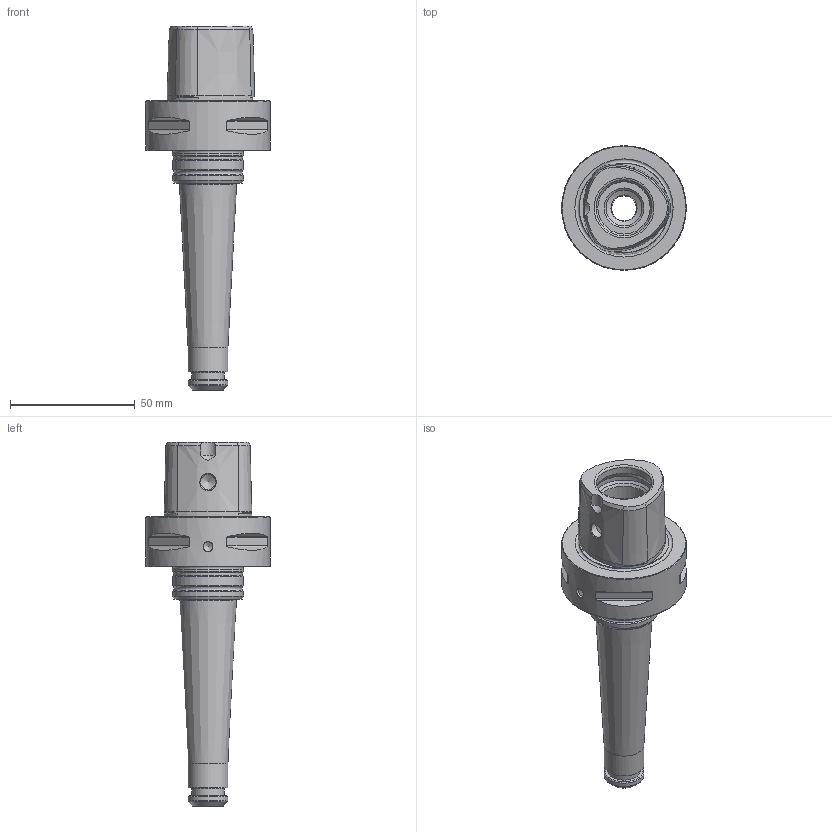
import cadquery as cq
import math


SHANK_TOP = 30.0
FLANGE_BOTTOM = -20.0
COLLAR_BOTTOM = -33.0
ARBOR_CONE_END = -99.0
NECK_TOP = -108.7
NECK_BOTTOM = -112.25
NOSE_BOTTOM = -116.0

SHANK_MEAN_RADIUS = 17.54
SHANK_ECCENTRICITY = 1.15
LOBE_CENTRE_DISTANCE = 8.5
SHANK_TAPER_START = 2.0
SHANK_TAPER_ANGLE = math.degrees(math.atan(1 / 40))
SHANK_CHAMFER_HEIGHT = 1.5
SHANK_CHAMFER_WIDTH = 0.6

ROOT_RADIUS = 18.0
ROOT_RING_HEIGHT = 0.3
ROOT_RELIEF_TOP = 1.2
TROUGH_OUTER_RADIUS = 19.7
TROUGH_DEPTH = 0.5

FLANGE_RADIUS = 25.0
FLANGE_CHAMFER = 0.2
SLOT_Z = -10.0
SLOT_FLOOR_DISTANCE = 22.2
SLOT_FLOOR_WIDTH = 4.0
SLOT_FLANK_ANGLE = 27.0
SLOT_CORNER_RADIUS = 0.6
FIRST_SLOT_ANGLE = 45.0
SLOT_COUNT = 4

COLLAR_RADIUS = 28.5 / 2
COLLAR_CHAMFER_HEIGHT = 1.2
COLLAR_CHAMFER_WIDTH = 0.6
RING_GROOVE_DEPTH = 0.4
SNAP_RING_GROOVE = (-22.0, -24.0)
SEAL_RING_GROOVE = (-27.7, -29.9)
SEAL_RING_GROOVE_DEPTH = 0.7
UNDERCUT_HEIGHT = 1.2
UNDERCUT_DEPTH = 0.15

ARBOR_END_RADIUS = 16.0 / 2
ARBOR_HALF_ANGLE = 3.0
ARBOR_ROOT_FILLET = 0.4
NECK_RADIUS = 13.0 / 2
NECK_FILLET = 0.4
LIP_CHAMFER = 0.4
NOSE_CHAMFER = 1.85
NOSE_CHAMFER_ANGLE = 45.0
NOSE_FILLET = 0.6

DRILL_POINT_ANGLE = 118.0

MOUTH_RADIUS = 24.0 / 2
MOUTH_FILLET = 0.8
BORE_RADIUS = 21.0 / 2
BORE_GROOVE_TOP = SHANK_TOP - 3.7
BORE_GROOVE_UPPER_FLANK = 1.9
BORE_GROOVE_LOWER_FLANK = 1.0
BORE_CONE_TOP = SHANK_TOP - 8.5
BORE_CONE_BOTTOM = SHANK_TOP - 9.5
BORE_FLOOR = 5.0
THREAD_RADIUS = 14.38 / 2
THREAD_CHAMFER_RADIUS = 16.0 / 2
THREAD_FLOOR = -20.0
COOLANT_RADIUS = 10.5 / 2
OUTLET_RADIUS = 10.0 / 2

KEY_SLOT_POINT_ANGLE = 95.0
KEY_SLOT_DIAMETER = 7.0
KEY_SLOT_X = -17.2
KEY_SLOT_FLOOR = 24.7
KEY_HOLE_DIAMETER = 6.1
KEY_HOLE_RIM_DIAMETER = 7.0
KEY_HOLE_RIM_ANGLE = 90.0
KEY_HOLE_Z = 14.0
KEY_HOLE_FLOOR_X = -12.9
FLANGE_HOLE_DIAMETER = 4.0
FLANGE_HOLE_Z = -12.0
FLANGE_HOLE_FLOOR_X = -24.0


def polar(radius, angle):
    """Point at a radius and an angle in degrees."""
    return (radius * math.cos(math.radians(angle)), radius * math.sin(math.radians(angle)))


def revolved(points):
    """Solid of revolution about Z from an (r, z) outline."""
    return cq.Workplane("XZ").polyline(points).close().revolve(360, (0, 0), (0, 1))


def drill(diameter, shoulder, start, point_angle=DRILL_POINT_ANGLE):
    """Drill along -Z on the Z axis, full diameter from start down to shoulder, then a point."""
    radius = diameter / 2
    tip = shoulder - radius / math.tan(math.radians(point_angle / 2))
    return revolved([(0, tip), (radius, shoulder), (radius, start), (0, start)])


def polygon_section(z):
    """Three-lobed outline at height z with one lobe on +X and one flank on -X."""
    e = SHANK_ECCENTRICITY
    c = LOBE_CENTRE_DISTANCE
    lobe_reach = SHANK_MEAN_RADIUS + e
    flank_reach = SHANK_MEAN_RADIUS - e
    flank_centre_distance = 4 * e * (c - e) / (c - 4 * e)
    flank_radius = flank_reach + flank_centre_distance
    lobe_radius = lobe_reach - c
    joint_y = c * math.sin(math.radians(60)) * flank_radius / (flank_radius - lobe_radius)
    joint_x = flank_centre_distance - math.sqrt(flank_radius**2 - joint_y**2)
    joint_radius = math.hypot(joint_x, joint_y)
    half_lobe = math.degrees(math.atan2(joint_y, joint_x)) - 120

    outline = cq.Workplane("XY", origin=(0, 0, z)).moveTo(*polar(joint_radius, -half_lobe))
    for lobe_angle in (0, 120, 240):
        lobe_end = polar(joint_radius, lobe_angle + half_lobe)
        next_lobe_start = polar(joint_radius, lobe_angle + 120 - half_lobe)
        outline = outline.threePointArc(polar(lobe_reach, lobe_angle), lobe_end)
        outline = outline.threePointArc(polar(flank_reach, lobe_angle + 60), next_lobe_start)
    return outline.close()


def shank():
    """Tapered polygon on a straight foot, with a turned relief that trims the lobes at the root."""
    taper_height = SHANK_TOP - SHANK_TAPER_START
    taper = polygon_section(SHANK_TAPER_START).extrude(taper_height, taper=SHANK_TAPER_ANGLE)
    taper = taper.faces(">Z").chamfer(SHANK_CHAMFER_HEIGHT, SHANK_CHAMFER_WIDTH)
    foot = polygon_section(0).extrude(SHANK_TAPER_START)
    clearance = SHANK_TAPER_START - ROOT_RELIEF_TOP
    envelope = revolved([
        (0, 0),
        (ROOT_RADIUS, 0),
        (ROOT_RADIUS, ROOT_RELIEF_TOP),
        (ROOT_RADIUS + clearance, SHANK_TAPER_START),
        (0, SHANK_TAPER_START),
    ])
    return taper.union(foot.intersect(envelope))


def flange():
    """Flange disc with a raised root ring and a round trough around it."""
    disc = cq.Workplane("XY").circle(FLANGE_RADIUS).extrude(FLANGE_BOTTOM).edges().chamfer(FLANGE_CHAMFER)
    ring = cq.Workplane("XY").circle(ROOT_RADIUS).extrude(ROOT_RING_HEIGHT)
    trough = (
        cq.Workplane("XZ")
        .moveTo(ROOT_RADIUS, 0)
        .threePointArc(((ROOT_RADIUS + TROUGH_OUTER_RADIUS) / 2, -TROUGH_DEPTH), (TROUGH_OUTER_RADIUS, 0))
        .close()
        .revolve(360, (0, 0), (0, 1))
    )
    return disc.cut(trough).union(ring)


def gripper_slots():
    """Straight trapezoidal slots across the flange rim."""
    outer = FLANGE_RADIUS + 1
    floor_half = SLOT_FLOOR_WIDTH / 2
    mouth_half = floor_half + (outer - SLOT_FLOOR_DISTANCE) * math.tan(math.radians(SLOT_FLANK_ANGLE))
    slot = (
        cq.Workplane("XZ")
        .polyline([
            (SLOT_FLOOR_DISTANCE, SLOT_Z - floor_half),
            (outer, SLOT_Z - mouth_half),
            (outer, SLOT_Z + mouth_half),
            (SLOT_FLOOR_DISTANCE, SLOT_Z + floor_half),
        ])
        .close()
        .extrude(FLANGE_RADIUS, both=True)
        .edges("|Y")
        .edges("<X")
        .fillet(SLOT_CORNER_RADIUS)
    )
    slots = cq.Workplane("XY")
    for index in range(SLOT_COUNT):
        angle = FIRST_SLOT_ANGLE + index * 360 / SLOT_COUNT
        slots = slots.add(slot.rotate((0, 0, 0), (0, 0, 1), angle))
    return slots.combine()


def collar_and_arbor():
    """Turned body below the flange: grooved collar, conical arbor, neck and nose."""
    groove_radius = COLLAR_RADIUS - RING_GROOVE_DEPTH
    undercut_bottom = FLANGE_BOTTOM - UNDERCUT_HEIGHT
    undercut_mid = (COLLAR_RADIUS - UNDERCUT_DEPTH, FLANGE_BOTTOM - UNDERCUT_HEIGHT / 2)
    snap_top, snap_bottom = SNAP_RING_GROOVE
    seal_top, seal_bottom = SEAL_RING_GROOVE
    seal_mid = (COLLAR_RADIUS - SEAL_RING_GROOVE_DEPTH, (seal_top + seal_bottom) / 2)
    cone_height = COLLAR_BOTTOM - ARBOR_CONE_END
    nose_shoulder = NOSE_BOTTOM + NOSE_CHAMFER
    nose_tangent = NOSE_FILLET * math.tan(math.radians(NOSE_CHAMFER_ANGLE / 2))
    nose_offset = nose_tangent * math.sin(math.radians(NOSE_CHAMFER_ANGLE))
    arbor_root_radius = ARBOR_END_RADIUS + cone_height * math.tan(math.radians(ARBOR_HALF_ANGLE))
    profile = (
        cq.Workplane("XZ")
        .moveTo(0, FLANGE_BOTTOM)
        .lineTo(COLLAR_RADIUS, FLANGE_BOTTOM)
        .threePointArc(undercut_mid, (COLLAR_RADIUS, undercut_bottom))
        .lineTo(COLLAR_RADIUS, snap_top)
        .lineTo(groove_radius, snap_top - RING_GROOVE_DEPTH)
        .lineTo(groove_radius, snap_bottom + RING_GROOVE_DEPTH)
        .lineTo(COLLAR_RADIUS, snap_bottom)
        .lineTo(COLLAR_RADIUS, seal_top)
        .lineTo(groove_radius, seal_top - RING_GROOVE_DEPTH)
        .threePointArc(seal_mid, (groove_radius, seal_bottom + RING_GROOVE_DEPTH))
        .lineTo(COLLAR_RADIUS, seal_bottom)
        .lineTo(COLLAR_RADIUS, COLLAR_BOTTOM + COLLAR_CHAMFER_HEIGHT)
        .lineTo(COLLAR_RADIUS - COLLAR_CHAMFER_WIDTH, COLLAR_BOTTOM)
        .lineTo(arbor_root_radius + ARBOR_ROOT_FILLET, COLLAR_BOTTOM)
        .radiusArc((arbor_root_radius, COLLAR_BOTTOM - ARBOR_ROOT_FILLET), -ARBOR_ROOT_FILLET)
        .lineTo(ARBOR_END_RADIUS, ARBOR_CONE_END)
        .lineTo(ARBOR_END_RADIUS, NECK_TOP)
        .lineTo(NECK_RADIUS + NECK_FILLET, NECK_TOP)
        .radiusArc((NECK_RADIUS, NECK_TOP - NECK_FILLET), -NECK_FILLET)
        .lineTo(NECK_RADIUS, NECK_BOTTOM + LIP_CHAMFER)
        .lineTo(ARBOR_END_RADIUS - LIP_CHAMFER, NECK_BOTTOM + LIP_CHAMFER)
        .lineTo(ARBOR_END_RADIUS, NECK_BOTTOM)
        .lineTo(ARBOR_END_RADIUS, nose_shoulder + nose_tangent)
        .radiusArc((ARBOR_END_RADIUS - nose_offset, nose_shoulder - nose_offset), NOSE_FILLET)
        .lineTo(ARBOR_END_RADIUS - NOSE_CHAMFER, NOSE_BOTTOM)
        .lineTo(0, NOSE_BOTTOM)
        .close()
    )
    return profile.revolve(360, (0, 0), (0, 1))


def stepped_bore():
    """Grooved entry bore, threaded-core bore, and coolant passage through to the nose."""
    entry_radius = MOUTH_RADIUS - MOUTH_FILLET
    thread_chamfer = THREAD_CHAMFER_RADIUS - THREAD_RADIUS
    drill_slope = math.tan(math.radians(DRILL_POINT_ANGLE / 2))
    thread_cone_end = THREAD_FLOOR - (THREAD_RADIUS - COOLANT_RADIUS) / drill_slope
    steps = [
        (entry_radius, BORE_GROOVE_TOP),
        (MOUTH_RADIUS, BORE_GROOVE_TOP - BORE_GROOVE_UPPER_FLANK),
        (MOUTH_RADIUS, BORE_CONE_TOP + BORE_GROOVE_LOWER_FLANK),
        (entry_radius, BORE_CONE_TOP),
        (BORE_RADIUS, BORE_CONE_BOTTOM),
        (BORE_RADIUS, BORE_FLOOR),
        (THREAD_CHAMFER_RADIUS, BORE_FLOOR),
        (THREAD_RADIUS, BORE_FLOOR - thread_chamfer),
        (THREAD_RADIUS, THREAD_FLOOR),
        (COOLANT_RADIUS, thread_cone_end),
        (COOLANT_RADIUS, ARBOR_CONE_END),
        (OUTLET_RADIUS, ARBOR_CONE_END),
        (OUTLET_RADIUS, NOSE_BOTTOM),
        (0, NOSE_BOTTOM),
    ]
    profile = (
        cq.Workplane("XZ")
        .moveTo(0, SHANK_TOP)
        .lineTo(MOUTH_RADIUS, SHANK_TOP)
        .radiusArc((entry_radius, SHANK_TOP - MOUTH_FILLET), -MOUTH_FILLET)
        .polyline(steps, includeCurrent=True)
        .close()
    )
    return profile.revolve(360, (0, 0), (0, 1))


def side_drilling(diameter, floor_x, z, point_angle=DRILL_POINT_ANGLE):
    """Radial drilling from the -X side whose full diameter ends at floor_x, with the point beyond it."""
    tool = drill(diameter, 0, FLANGE_RADIUS, point_angle)
    return tool.rotate((0, 0, 0), (0, 1, 0), -90).translate((floor_x, 0, z))


def key_hole():
    """Side hole in the -X flank with a drill point and a countersunk rim."""
    hole = side_drilling(KEY_HOLE_DIAMETER, KEY_HOLE_FLOOR_X, KEY_HOLE_Z)
    taper_drop = (KEY_HOLE_Z - SHANK_TAPER_START) * math.tan(math.radians(SHANK_TAPER_ANGLE))
    flank_x = taper_drop - (SHANK_MEAN_RADIUS - SHANK_ECCENTRICITY)
    rim = side_drilling(KEY_HOLE_RIM_DIAMETER, flank_x, KEY_HOLE_Z, KEY_HOLE_RIM_ANGLE)
    return hole.union(rim)


def key_slot():
    """Vertical drilling that breaks through the -X flank at the shank top."""
    tool = drill(KEY_SLOT_DIAMETER, KEY_SLOT_FLOOR, SHANK_TOP, KEY_SLOT_POINT_ANGLE)
    return tool.rotate((0, 0, 0), (0, 0, 1), 180).translate((KEY_SLOT_X, 0, 0))


body = shank().union(flange()).union(collar_and_arbor())
body = body.cut(gripper_slots()).cut(stepped_bore()).cut(key_slot())
body = body.cut(key_hole())
body = body.cut(side_drilling(FLANGE_HOLE_DIAMETER, FLANGE_HOLE_FLOOR_X, FLANGE_HOLE_Z))
result = body